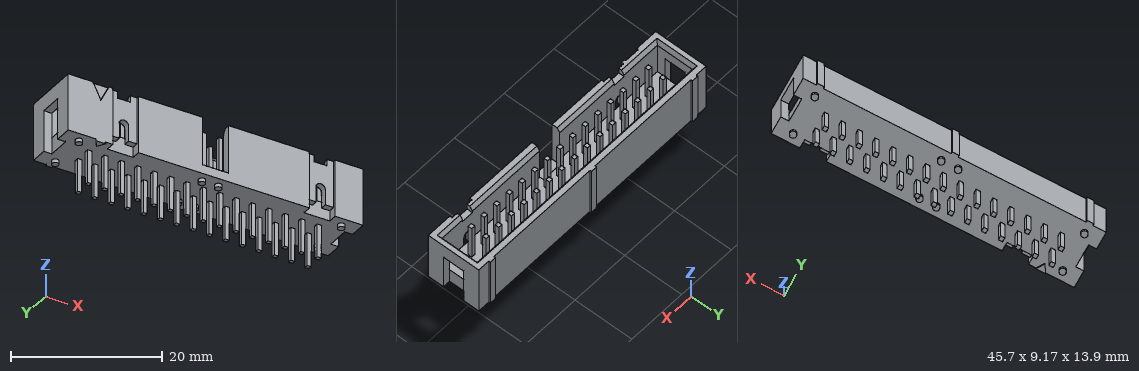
import cadquery as cq
import math

length = 45.7
width = 8.9
height = 8.82
floor_top = 2.5

end_wall = 1.25
side_wall = 1.35
lead_in_run = 0.45
lead_in_depth = 0.7

pins_per_row = 15
row_length = 35.55
pitch = row_length / (pins_per_row - 1)
pin_size = 0.65
pin_tail = 5.1
pin_tip_below_rim = 0.25

key_width = 4.02
key_bottom = 1.35
key_depth = 2.0

latch_width = 4.0
latch_relief = 0.4
latch_foot_height = 1.6
latch_slot_width = 1.4
latch_slot_top = 4.65
latch_notch_width = 1.95
latch_notch_depth = 1.0
latch_spacing = row_length - 2 * pitch
latch_shift = 1.3
latch_centres = [latch_shift - latch_spacing / 2, latch_shift + latch_spacing / 2]

window_width = 3.5
window_top = 6.35

rib_width = 1.05
rib_depth = 0.27
standoff_diameter = 1.0
standoff_height = 0.55
standoff_y = 3.0
outer_station = row_length / 2 + pitch
inner_station = pitch / 2

front_mark_width = 2.5
front_mark_height = 2.5
front_mark_depth = 0.27
base_mark_width = 1.5
base_mark_length = 1.2
base_mark_height = 0.27

front = -width / 2
back = width / 2
first_pin_x = -row_length / 2


def block(x_centre, x_size, y_min, y_max, z_min, z_max):
    """Box centred on x_centre and spanning the given Y and Z limits."""
    box = cq.Workplane("XY").box(x_size, y_max - y_min, z_max - z_min, centered=(True, False, False))
    return box.translate((x_centre, y_min, z_min))


def cavity():
    inner_length = length - 2 * end_wall
    inner_width = width - 2 * side_wall
    well = block(0, inner_length, -inner_width / 2, inner_width / 2, floor_top, height)
    lead_in = (
        cq.Workplane("XY")
        .workplane(offset=height)
        .rect(inner_length + 2 * lead_in_run, inner_width + 2 * lead_in_run)
        .extrude(-lead_in_depth, taper=math.degrees(math.atan(lead_in_run / lead_in_depth)))
    )
    return well.union(lead_in)


def latch_pocket(x_centre):
    """Shallow full-height relief with a foot recess, a round-topped slot and a rim notch."""
    inner_face = front + side_wall
    relief = block(x_centre, latch_width, front, front + latch_relief, 0, height)
    foot = block(x_centre, latch_width, front, inner_face, 0, latch_foot_height)
    notch = block(x_centre, latch_notch_width, front, inner_face, height - latch_notch_depth, height)
    radius = latch_slot_width / 2
    slot = (
        cq.Workplane("XZ", origin=(x_centre, inner_face, 0))
        .moveTo(-radius, 0)
        .lineTo(-radius, latch_slot_top - radius)
        .threePointArc((0, latch_slot_top), (radius, latch_slot_top - radius))
        .lineTo(radius, 0)
        .close()
        .extrude(side_wall)
    )
    return relief.union(foot).union(notch).union(slot)


def end_window(side):
    """Slot through an end wall, open at the base; side is -1 or 1."""
    x_centre = side * (length - end_wall) / 2
    return block(x_centre, end_wall, -window_width / 2, window_width / 2, 0, window_top)


def front_mark():
    return (
        cq.Workplane("XZ", origin=(first_pin_x, front + front_mark_depth, height))
        .polyline([(-front_mark_width / 2, 0), (front_mark_width / 2, 0), (0, -front_mark_height)])
        .close()
        .extrude(front_mark_depth)
    )


def base_mark():
    return (
        cq.Workplane("XY", origin=(first_pin_x, front, 0))
        .polyline([(-base_mark_width / 2, 0), (base_mark_width / 2, 0), (0, base_mark_length)])
        .close()
        .extrude(-base_mark_height)
    )


def standoffs():
    stations = [-outer_station, -inner_station, inner_station, outer_station]
    points = [(x, y) for x in stations for y in (-standoff_y, standoff_y)]
    return cq.Workplane("XY").pushPoints(points).circle(standoff_diameter / 2).extrude(-standoff_height)


def pins():
    return (
        cq.Workplane("XY")
        .workplane(offset=-pin_tail)
        .rarray(pitch, pitch, pins_per_row, 2)
        .rect(pin_size, pin_size)
        .extrude(pin_tail + height - pin_tip_below_rim)
    )


housing = block(0, length, front, back, 0, height)
housing = housing.cut(cavity())
housing = housing.cut(block(0, key_width, front, front + key_depth, key_bottom, height))
housing = housing.cut(front_mark())
for latch_x in latch_centres:
    housing = housing.cut(latch_pocket(latch_x))
for end_side in (-1, 1):
    housing = housing.cut(end_window(end_side))
for rib_x in (-outer_station, 0, outer_station):
    housing = housing.union(block(rib_x, rib_width, back, back + rib_depth, 0, height))

result = housing.union(base_mark()).union(standoffs()).union(pins())